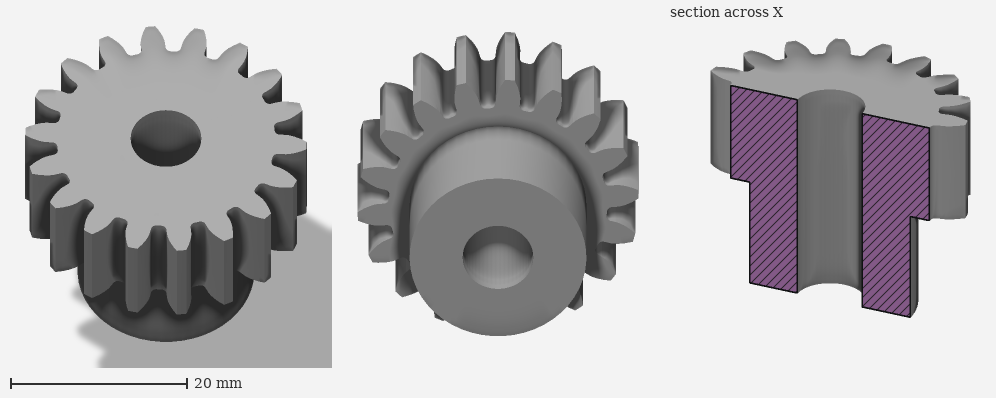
import cadquery as cq
import math

teeth = 18
module = 1.6
pressure_angle = math.radians(20)
addendum = module
dedendum = 1.25 * module
pitch_radius = module * teeth / 2
tip_radius = pitch_radius + addendum
root_radius = pitch_radius - dedendum
base_radius = pitch_radius * math.cos(pressure_angle)
root_fillet = 0.38 * module
flank_points = 7

hub_height = 13.0
face_width = 12.0
hub_diameter = 20.0
bore_diameter = 8.0
total_height = hub_height + face_width


def involute(angle):
    """Involute function of a pressure angle in radians."""
    return math.tan(angle) - angle


def half_tooth_angle(radius):
    """Angle from the tooth centre line to its flank at a radius outside the base circle."""
    flank_angle = math.acos(min(1, base_radius / radius))
    return math.pi / (2 * teeth) + involute(pressure_angle) - involute(flank_angle)


def polar(radius, angle):
    """XY point at a distance and direction from the gear axis."""
    return (radius * math.cos(angle), radius * math.sin(angle))


half_base_width = base_radius * math.sin(half_tooth_angle(base_radius))
half_root_angle = math.asin(half_base_width / root_radius)
flank_step = (tip_radius - base_radius) / (flank_points - 1)
flank_radii = [base_radius + flank_step * i for i in range(flank_points)]


def gear_outline():
    """Closed outline of all teeth, joined by arcs on the root circle."""
    pitch_angle = 2 * math.pi / teeth
    outline = cq.Workplane("XY").workplane(offset=hub_height)
    outline = outline.moveTo(*polar(root_radius, -half_root_angle))
    for tooth in range(teeth):
        centre = tooth * pitch_angle
        rising = [polar(r, centre - half_tooth_angle(r)) for r in flank_radii]
        falling = [polar(r, centre + half_tooth_angle(r)) for r in reversed(flank_radii)]
        outline = (
            outline.lineTo(*rising[0])
            .spline(rising[1:], includeCurrent=True)
            .threePointArc(polar(tip_radius, centre), falling[0])
            .spline(falling[1:], includeCurrent=True)
            .lineTo(*polar(root_radius, centre + half_root_angle))
            .threePointArc(
                polar(root_radius, centre + pitch_angle / 2),
                polar(root_radius, centre + pitch_angle - half_root_angle),
            )
        )
    return outline.close()


def make_gear():
    """Solid toothed disc with rounded corners at the foot of every tooth."""
    gear = gear_outline().extrude(face_width)
    root_limit = (root_radius + base_radius) / 2
    root_edges = [
        edge for edge in gear.edges("|Z").vals()
        if math.hypot(edge.Center().x, edge.Center().y) < root_limit
    ]
    return gear.newObject(root_edges).fillet(root_fillet)


hub = cq.Workplane("XY").circle(hub_diameter / 2).extrude(hub_height)
bore = cq.Workplane("XY").circle(bore_diameter / 2).extrude(total_height)
result = make_gear().union(hub).cut(bore)